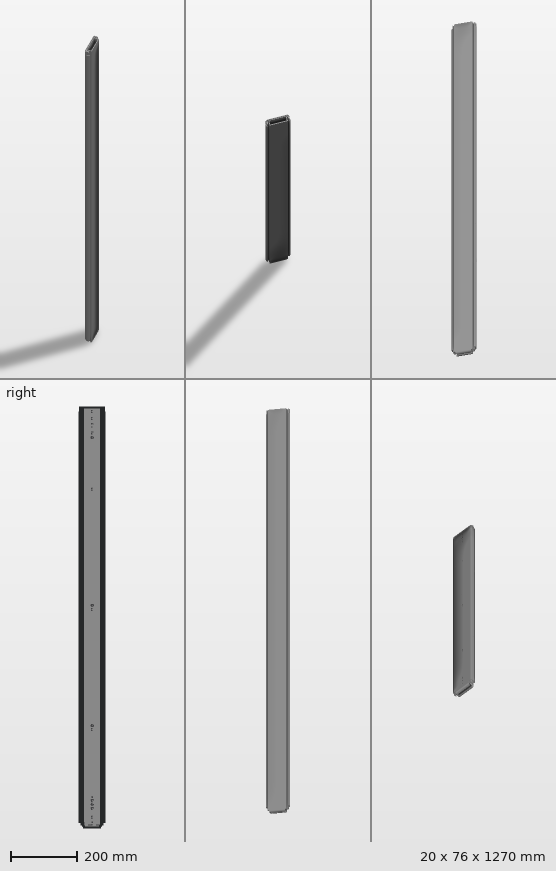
import cadquery as cq
import math

TOP = 1270.0
BACK = -10.0
FRONT = 10.0
SHEET = 1.9

FLANGE_BOTTOM = 18.0
OUTER_HALF_WIDTH = 38.0
WEB_HALF_WIDTH = 32.0
CORNER_DEPTH = 3.0
CORNER_RISE = 4.5
BEAD_RADIUS = 8.3
BEAD_CENTER_X = 0.6
BEAD_CENTER_Y = OUTER_HALF_WIDTH - BEAD_RADIUS
RIM_DROP = 3.2
RIM_Y = OUTER_HALF_WIDTH - RIM_DROP
NOTCH_X = -3.0
NOTCH_DEPTH = 14.0

LIP_WIDTH = 50.0
BEND_RADIUS = 5.0
OUTER_LIP_LENGTH = 8.3
INNER_LIP_LENGTH = 5.7
INNER_LIP_TOP = 2 * BEND_RADIUS

MIDDLE_BACK = -7.0
MIDDLE_FRONT = 3.2
MIDDLE_HALF_WIDTH = 33.0
MIDDLE_CORNER_RADIUS = 3.2
MIDDLE_BOTTOM = 9.5

INNER_BACK = -4.0
INNER_WIDTH = 57.0
INNER_SHEET = 3.0
INNER_FLANGE_BOTTOM = 5.5

RETAINER_HALF_WIDTH = 4.5
RETAINER_CLEARANCE = 0.3
RETAINER_BASE_Y = MIDDLE_HALF_WIDTH + RETAINER_CLEARANCE

HOLE_DIAMETER = 6.0
HOLE_HEIGHTS = [33.0, 60.0, 72.0, 84.0, 298.0, 310.0, 660.0, 673.0, 1024.0, 1180.0, 1194.0, 1237.0, 1259.0]
SMALL_HOLE_DIAMETER = 3.0
SMALL_HOLE_HEIGHTS = [10.0, 18.0, 94.0]
SLOT_LENGTH = 11.0
SLOT_HEIGHT = 1217.0


def box(x_range, y_range, z_range):
    """A box between two limits on each axis."""
    limits = (x_range, y_range, z_range)
    lengths = [high - low for low, high in limits]
    corner = tuple(low for low, high in limits)
    return cq.Workplane("XY").box(*lengths, centered=False).translate(corner)


def mirrored(half):
    """Join a half member to its mirror image across Y = 0."""
    return half.union(half.mirror("XZ")).clean()


def bead_x(radius, y):
    """Half the width of a bead circle at height y."""
    return math.sqrt(radius**2 - (y - BEAD_CENTER_Y) ** 2)


def web_lip(face_x, inward, length, sheet, top):
    """A web strip bent inward at Z = 0; inward is the X direction of the bend."""
    inner_radius = BEND_RADIUS - sheet
    diagonal = math.sqrt(0.5)
    center_x = face_x + inward * BEND_RADIUS
    lip_end = face_x + inward * length
    return (
        cq.Workplane("XZ", origin=(0, LIP_WIDTH / 2, 0))
        .moveTo(face_x, top)
        .lineTo(face_x, BEND_RADIUS)
        .threePointArc(
            (center_x - inward * BEND_RADIUS * diagonal, BEND_RADIUS * (1 - diagonal)),
            (center_x, 0),
        )
        .lineTo(lip_end, 0)
        .lineTo(lip_end, sheet)
        .lineTo(center_x, sheet)
        .threePointArc(
            (center_x - inward * inner_radius * diagonal, BEND_RADIUS - inner_radius * diagonal),
            (face_x + inward * sheet, BEND_RADIUS),
        )
        .lineTo(face_x + inward * sheet, top)
        .close()
        .extrude(LIP_WIDTH)
    )


def outer_channel():
    """The web, sloping corners and bowed flanges of the outer member."""
    slope = math.atan2(CORNER_RISE, CORNER_DEPTH)
    corner_x = BACK + CORNER_DEPTH
    corner_y = WEB_HALF_WIDTH + CORNER_RISE
    inner_radius = BEAD_RADIUS - SHEET
    inner_y = corner_y - SHEET
    inner_corner_x = corner_x + SHEET * math.tan(slope / 2)
    inner_web_y = WEB_HALF_WIDTH - SHEET * math.tan((math.pi / 2 - slope) / 2)
    rim_half_chord = bead_x(BEAD_RADIUS, RIM_Y)
    inner_scale = inner_radius / BEAD_RADIUS
    half = (
        cq.Workplane("XY", origin=(0, 0, FLANGE_BOTTOM))
        .moveTo(BACK, 0)
        .lineTo(BACK, WEB_HALF_WIDTH)
        .lineTo(corner_x, corner_y)
        .lineTo(BEAD_CENTER_X - bead_x(BEAD_RADIUS, corner_y), corner_y)
        .threePointArc(
            (BEAD_CENTER_X, OUTER_HALF_WIDTH),
            (BEAD_CENTER_X + rim_half_chord, RIM_Y),
        )
        .lineTo(
            BEAD_CENTER_X + rim_half_chord * inner_scale,
            BEAD_CENTER_Y + (RIM_Y - BEAD_CENTER_Y) * inner_scale,
        )
        .threePointArc(
            (BEAD_CENTER_X, BEAD_CENTER_Y + inner_radius),
            (BEAD_CENTER_X - bead_x(inner_radius, inner_y), inner_y),
        )
        .lineTo(inner_corner_x, inner_y)
        .lineTo(BACK + SHEET, inner_web_y)
        .lineTo(BACK + SHEET, 0)
        .close()
        .extrude(TOP - FLANGE_BOTTOM)
    )
    notch = box(
        (NOTCH_X, FRONT),
        (0, OUTER_HALF_WIDTH),
        (TOP - NOTCH_DEPTH, TOP),
    )
    return mirrored(half.cut(notch))


def web_holes():
    """Cutters for the holes and the slot in the outer web."""
    plane = cq.Workplane("YZ", origin=(BACK, 0, 0))
    holes = plane.pushPoints([(0, z) for z in HOLE_HEIGHTS]).circle(HOLE_DIAMETER / 2).extrude(SHEET)
    small_points = [(0, z) for z in SMALL_HOLE_HEIGHTS]
    small_holes = plane.pushPoints(small_points).circle(SMALL_HOLE_DIAMETER / 2).extrude(SHEET)
    slot = plane.center(0, SLOT_HEIGHT).slot2D(SLOT_LENGTH, HOLE_DIAMETER, 90).extrude(SHEET)
    return holes.union(small_holes).union(slot)


def make_outer_member():
    """The channel with a narrowed web that ends in a bent lip."""
    lip = web_lip(BACK, 1, OUTER_LIP_LENGTH, SHEET, FLANGE_BOTTOM)
    return outer_channel().union(lip).clean().cut(web_holes())


def make_intermediate_member():
    """A channel with rounded outer corners, nested in the outer member."""
    heights = (MIDDLE_BOTTOM, TOP)
    blank = box((MIDDLE_BACK, MIDDLE_FRONT), (-MIDDLE_HALF_WIDTH, MIDDLE_HALF_WIDTH), heights)
    blank = blank.edges("|Z and <X").fillet(MIDDLE_CORNER_RADIUS)
    inside = MIDDLE_HALF_WIDTH - SHEET
    cavity = box((MIDDLE_BACK + SHEET, MIDDLE_FRONT), (-inside, inside), heights)
    cavity = cavity.edges("|Z and <X").fillet(MIDDLE_CORNER_RADIUS - SHEET)
    return blank.cut(cavity)


def make_inner_member():
    """A channel facing the other two, with bevelled flange ends and a bent lip."""
    heights = (INNER_FLANGE_BOTTOM, TOP)
    half_width = INNER_WIDTH / 2
    blank = box((INNER_BACK, FRONT), (-half_width, half_width), heights)
    blank = blank.edges("|X and <Z").chamfer(INNER_SHEET)
    inside = half_width - INNER_SHEET
    cavity = box((INNER_BACK, FRONT - INNER_SHEET), (-inside, inside), heights)
    lip = web_lip(FRONT, -1, INNER_LIP_LENGTH, INNER_SHEET, INNER_LIP_TOP)
    return blank.cut(cavity).union(lip).clean()


def make_retainer(side):
    """A ball retainer strip inside one bowed flange; side is the sign of its Y."""
    radius = BEAD_RADIUS - SHEET - RETAINER_CLEARANCE
    edge_y = BEAD_CENTER_Y + math.sqrt(radius**2 - RETAINER_HALF_WIDTH**2)
    left = BEAD_CENTER_X - RETAINER_HALF_WIDTH
    right = BEAD_CENTER_X + RETAINER_HALF_WIDTH
    return (
        cq.Workplane("XY", origin=(0, 0, FLANGE_BOTTOM))
        .moveTo(left, side * RETAINER_BASE_Y)
        .lineTo(left, side * edge_y)
        .threePointArc((BEAD_CENTER_X, side * (BEAD_CENTER_Y + radius)), (right, side * edge_y))
        .lineTo(right, side * RETAINER_BASE_Y)
        .close()
        .extrude(TOP - FLANGE_BOTTOM)
    )


outer_member = make_outer_member()
intermediate_member = make_intermediate_member()
inner_member = make_inner_member()
retainers = [make_retainer(side) for side in (-1, 1)]

result = cq.Compound.makeCompound(
    [
        outer_member.val(),
        intermediate_member.val(),
        inner_member.val(),
        *[retainer.val() for retainer in retainers],
    ]
)